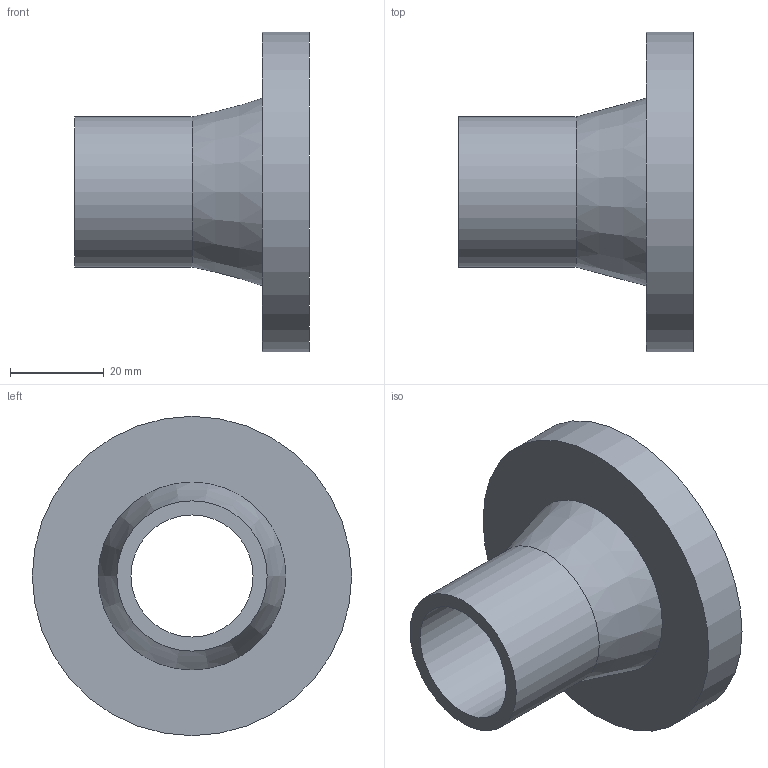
import cadquery as cq

overall_length = 50.0
flange_diameter = 68.0
flange_thickness = 10.0
hub_length = 15.0
hub_base_diameter = 40.0
pipe_diameter = 32.0
bore_diameter = 26.0

flange_front = overall_length - flange_thickness
hub_start = flange_front - hub_length


def revolved_body():
    """Pipe stub, conical hub and flange disc as one turned solid."""
    profile = (
        cq.Workplane("XY")
        .moveTo(0, 0)
        .lineTo(0, pipe_diameter / 2)
        .lineTo(hub_start, pipe_diameter / 2)
        .lineTo(flange_front, hub_base_diameter / 2)
        .lineTo(flange_front, flange_diameter / 2)
        .lineTo(overall_length, flange_diameter / 2)
        .lineTo(overall_length, 0)
        .close()
    )
    return profile.revolve(360, (0, 0, 0), (1, 0, 0))


def bore():
    """Straight bore running the full length of the part."""
    return cq.Workplane("YZ").circle(bore_diameter / 2).extrude(overall_length)


result = revolved_body().cut(bore())